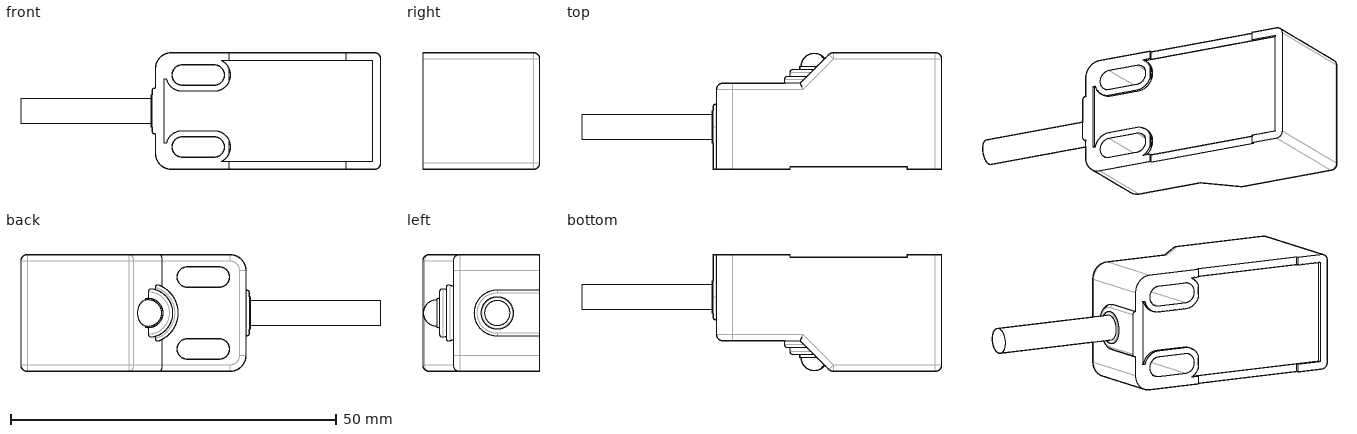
import cadquery as cq
import math

total_length = 55.3
depth = 18.0
width = 18.0

housing_start = 20.7
step_depth = 13.25
slope_top = 38.25
slope_angle = 45.0
cable_end_radius = 2.5
edge_radius = 1.0
selection_margin = 0.05

slot_length = 8.0
slot_radius = 1.55
slot_center_x = 27.25
slot_spacing = 11.05
slot_rim_radius = 2.5

recess_start = 22.0
recess_width = 15.55
recess_neck_width = 9.85
recess_end_margin = 1.25
recess_depth = 0.5

relief_start = 32.0
relief_end = 50.0
relief_depth = 0.4

cable_radius = 1.95
cable_depth = 6.5
pad_radius = 3.55
pad_height = 0.5
pad_embed = 0.55
pad_fillet = 0.45
collar_radius = 2.5
collar_height = 0.15
collar_fillet = 0.1

knob_x = 35.7
lower_ring_radius = 4.6
upper_ring_radius = 3.75
ring_height = 1.05
ring_fillet = 0.5
knob_neck_radius = 2.25
knob_neck_height = 0.45
dome_radius = 2.05

slope_bottom = slope_top - (depth - step_depth) / math.tan(math.radians(slope_angle))
slot_arc_offset = slot_length / 2 - slot_radius
slot_rim_length = 2 * (slot_arc_offset + slot_rim_radius)
slot_centers = [(slot_center_x, side * slot_spacing / 2) for side in (-1, 1)]


def depth_plane(y):
    """XZ sketch plane at the given depth; a negative extrusion goes towards +Y."""
    return cq.Workplane(cq.Plane(origin=(0, y, 0), xDir=(1, 0, 0), normal=(0, -1, 0)))


def cable_plane(x):
    """Sketch plane across the cable axis, facing the cable tip; local x is +Z, local y is +Y."""
    return cq.Workplane(cq.Plane(origin=(x, cable_depth, 0), xDir=(0, 0, 1), normal=(-1, 0, 0)))


def make_housing():
    """Stepped, sloped block with rounded corners and a rounded raised side."""
    profile = [
        (housing_start, 0),
        (total_length, 0),
        (total_length, depth),
        (slope_top, depth),
        (slope_bottom, step_depth),
        (housing_start, step_depth),
    ]
    body = cq.Workplane("XY").polyline(profile).close().extrude(width / 2, both=True)
    body = body.edges("|Y and <X").fillet(cable_end_radius)
    body = body.edges("|Y and >X").fillet(edge_radius)
    inner_corner = cq.selectors.BoxSelector(
        (slope_bottom - selection_margin, step_depth - selection_margin, -selection_margin),
        (slope_bottom + selection_margin, step_depth + selection_margin, selection_margin),
    )
    mounting_rim = cq.selectors.DirectionMinMaxSelector(cq.Vector(0, 1, 0), False)
    corner_seams = cq.selectors.ParallelDirSelector(cq.Vector(0, 1, 0))
    raised_rim = cq.selectors.InverseSelector(inner_corner + mounting_rim + corner_seams)
    return body.edges(raised_rim).fillet(edge_radius)


def mounting_block(start, end, block_width, block_depth):
    """Block sunk into the mounting face between two X positions, centered on Z."""
    sketch = depth_plane(0).center((start + end) / 2, 0).rect(end - start, block_width)
    return sketch.extrude(-block_depth)


def slot_tool(length, radius, tool_depth):
    """Pair of slot-shaped prisms at the two mounting slots."""
    sketch = depth_plane(0).pushPoints(slot_centers).slot2D(length, 2 * radius)
    return sketch.extrude(-tool_depth)


def cut_mounting_face(body):
    """Recess, edge relief and through slots, all from the face at Y = 0."""
    recess_end = total_length - recess_end_margin
    recess = mounting_block(slot_center_x, recess_end, recess_width, recess_depth)
    recess = recess.union(mounting_block(recess_start, recess_end, recess_neck_width, recess_depth))
    recess = recess.cut(slot_tool(slot_rim_length, slot_rim_radius, recess_depth))
    relief = mounting_block(relief_start, relief_end, width, relief_depth)
    slots = slot_tool(slot_length, slot_radius, step_depth)
    return body.cut(recess).cut(relief).cut(slots)


def make_pad():
    """Raised pad: half round about the cable, running straight to the mounting face."""
    start = housing_start - pad_height
    outline = cable_plane(start).moveTo(-pad_radius, -cable_depth).lineTo(-pad_radius, 0)
    outline = outline.threePointArc((0, pad_radius), (pad_radius, 0)).lineTo(pad_radius, -cable_depth)
    pad = outline.close().extrude(-pad_height - pad_embed)
    return pad.faces("<X").edges("not <Y").fillet(pad_fillet)


def make_cable():
    """Cable with the low collar at its entry."""
    collar_start = housing_start - pad_height - collar_height
    collar = cable_plane(collar_start).circle(collar_radius).extrude(-collar_height)
    collar = collar.faces("<X").edges().fillet(collar_fillet)
    cable = cable_plane(0).circle(cable_radius).extrude(-housing_start)
    return cable.union(collar)


def knob_disc(radius, base, height):
    """Disc about the knob axis, standing on the given depth."""
    return depth_plane(base).center(knob_x, 0).circle(radius).extrude(-height)


def make_knob():
    """Stepped knob standing on the step and partly sunk into the slope."""
    lower = knob_disc(lower_ring_radius, step_depth, ring_height)
    upper = knob_disc(upper_ring_radius, step_depth + ring_height, ring_height)
    rings = [ring.faces(">Y").edges().fillet(ring_fillet) for ring in (lower, upper)]
    dome_base = step_depth + 2 * ring_height + knob_neck_height
    neck = knob_disc(knob_neck_radius, step_depth, dome_base - step_depth)
    dome = cq.Workplane("XY").sphere(dome_radius).translate((knob_x, dome_base, 0))
    return neck.union(rings[0]).union(rings[1]).union(dome)


result = cut_mounting_face(make_housing())
result = result.union(make_pad()).union(make_cable()).union(make_knob())